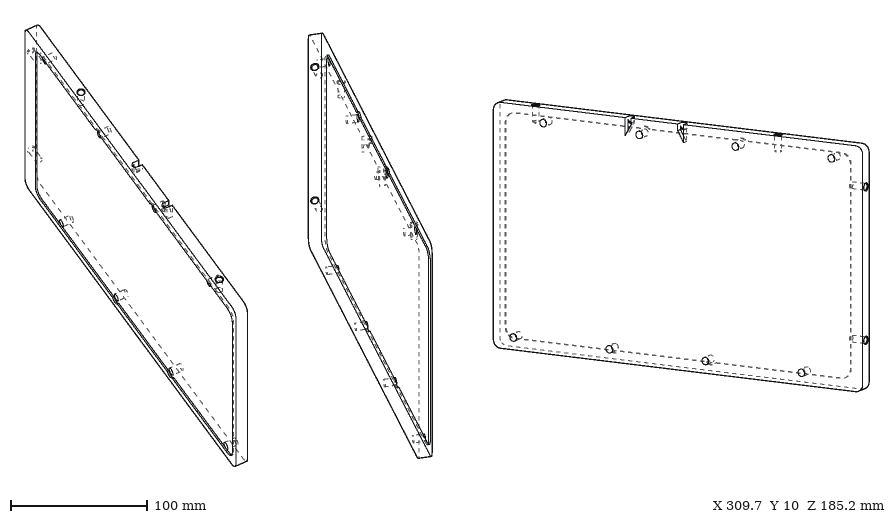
import cadquery as cq
import math

length = 309.7
thickness = 10.0
height = 185.2
corner_radius = 6.2

rim_left = 15.2
rim_right = 5.3
rim_top = 9.0
rim_bottom = 6.5
pocket_depth = 1.2
pocket_radius = 7.7

hole_diameter = 5.5
hole_pitch = 80.5
holes_per_row = 4
upper_row_start = 26.3
upper_row_z = height - 11.8
lower_row_start = 51.5
lower_row_z = 9.3
relief_diameter = 9.3

edge_hole_diameter = 5.0
edge_hole_mouth_diameter = 6.2
edge_hole_depth = 12.5
drill_tip_angle = 118.0
top_hole_xs = (73.7, 277.0)
left_hole_zs = (38.5, height - 31.3)

notch_left_x = 152.7
notch_right_x = 196.7
notch_width = 5.0
notch_depth = 5.0
notch_axis_y = 5.5
notch_floor_slope = 60.0


def make_plate():
    plate = cq.Workplane("XY").box(length, thickness, height, centered=False)
    return plate.edges("|Y").fillet(corner_radius)


def make_pocket():
    pocket_length = length - rim_left - rim_right
    pocket_height = height - rim_top - rim_bottom
    pocket = cq.Workplane("XY").box(pocket_length, pocket_depth, pocket_height, centered=False)
    return pocket.edges("|Y").fillet(pocket_radius).translate((rim_left, 0, rim_bottom))


def row_points(start, z):
    return [(start + i * hole_pitch, z) for i in range(holes_per_row)]


def cylinders_from_front(points, diameter, depth):
    return cq.Workplane("XZ").pushPoints(points).circle(diameter / 2).extrude(-depth)


def make_edge_hole():
    """Drilled hole on the Z axis, pointing down from z = 0, with a 45 degree mouth chamfer."""
    radius = edge_hole_diameter / 2
    mouth_radius = edge_hole_mouth_diameter / 2
    chamfer_depth = mouth_radius - radius
    tip_depth = edge_hole_depth + radius / math.tan(math.radians(drill_tip_angle / 2))
    points = [
        (0, 0),
        (mouth_radius, 0),
        (radius, -chamfer_depth),
        (radius, -edge_hole_depth),
        (0, -tip_depth),
    ]
    profile = cq.Workplane("XZ").polyline(points).close()
    return profile.revolve(360, (0, 0, 0), (0, 1, 0))


def make_top_hole(x):
    return make_edge_hole().translate((x, thickness / 2, height))


def make_left_hole(z):
    pointing_right = make_edge_hole().rotate((0, 0, 0), (0, 1, 0), -90)
    return pointing_right.translate((0, thickness / 2, z))


def make_notch(x, outward):
    """Notch centred at x; outward is -1 or 1, the X direction in which its back floor drops."""
    radius = notch_width / 2
    shaft = cq.Workplane("XY").circle(radius).extrude(-notch_depth)
    round_bottom = (
        cq.Workplane("XZ")
        .moveTo(-radius, 0)
        .lineTo(-radius, radius - notch_depth)
        .threePointArc((0, -notch_depth), (radius, radius - notch_depth))
        .lineTo(radius, 0)
        .close()
        .extrude(radius, both=True)
    )
    floor_drop = notch_width * math.tan(math.radians(notch_floor_slope))
    back_points = [
        (-radius * outward, 0),
        (-radius * outward, -notch_depth),
        (radius * outward, -notch_depth - floor_drop),
        (radius * outward, 0),
    ]
    back = cq.Workplane("XZ").polyline(back_points).close().extrude(notch_axis_y - thickness)
    return shaft.intersect(round_bottom).union(back).translate((x, notch_axis_y, height))


upper_row = row_points(upper_row_start, upper_row_z)
lower_row = row_points(lower_row_start, lower_row_z)
inner_holes = upper_row[1:-1] + lower_row[1:-1]

result = make_plate().cut(make_pocket())
result = result.cut(cylinders_from_front(inner_holes, relief_diameter, pocket_depth))
result = result.cut(cylinders_from_front(upper_row + lower_row, hole_diameter, thickness))
for hole_x in top_hole_xs:
    result = result.cut(make_top_hole(hole_x))
for hole_z in left_hole_zs:
    result = result.cut(make_left_hole(hole_z))
result = result.cut(make_notch(notch_left_x, -1)).cut(make_notch(notch_right_x, 1))